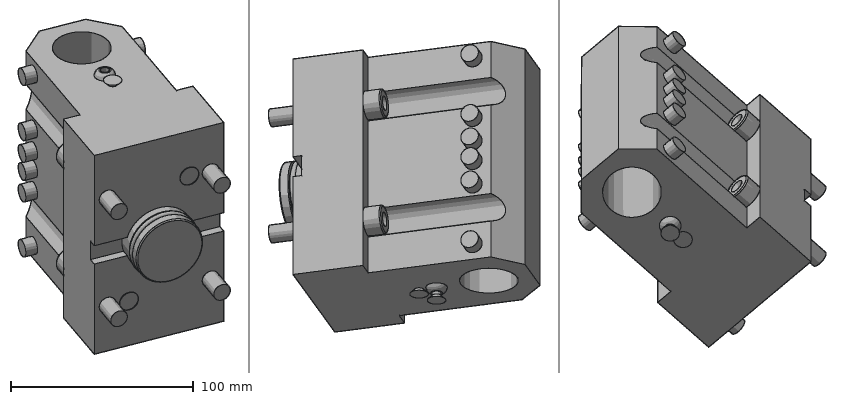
import cadquery as cq

body_length = 125.0
body_height = 130.0
foot_width = 78.0
foot_length = 40.0
neck_width = 58.0
nose_chamfer = 15.0
bore_x = 25.0
bore_diameter = 32.0

bolt_offset_y = 31.0
bolt_offset_z = 35.0
bolt_diameter = 10.0
bolt_protrusion = 15.0
head_diameter = 16.0
head_height = 10.0
head_chamfer = 0.7
socket_diameter = 7.9
socket_depth = 5.0
bolt_groove_diameter = 17.0

pin_diameter = 10.0
pin_protrusion = 7.0
pin_offsets_z = (5.9, 20.0, 56.0)

boss_radius = 20.0
boss_length = 14.0
boss_chamfer = 0.7
seal_groove_start = 4.5
seal_groove_end = 8.7
seal_groove_depth = 2.5
seal_section_radius = 1.7
seal_protrusion = 0.4

slot_width = 12.0
slot_depth = 5.0

port_diameter = 11.3
port_thickness = 0.4
port_offset_y = 18.2
port_offset_z = 35.8

nozzle_x = 54.9
nozzle_base_radius = 5.9
nozzle_tip_radius = 3.2
nozzle_height = 3.4
nozzle_bulge = 0.4
nozzle_hole_diameter = 4.8

plug_x = 64.9
plug_shank_radius = 2.5
plug_rim_radius = 5.1
plug_height = 2.7
plug_root = 2.8
drain_height = 7.8

foot_x = body_length - foot_length
middle_z = body_height / 2
half_neck = neck_width / 2
half_foot = foot_width / 2
bolt_places = [
    (side_y * bolt_offset_y, middle_z + side_z * bolt_offset_z)
    for side_y in (-1, 1)
    for side_z in (-1, 1)
]


def rod_along_x(x, y, z, diameter, length):
    """Round bar starting at x and running toward +X."""
    return cq.Workplane("YZ", origin=(x, y, z)).circle(diameter / 2).extrude(length)


def make_body():
    """T-shaped block with a chamfered nose and a slot across the mounting face."""
    outline = [
        (0, -half_neck + nose_chamfer),
        (nose_chamfer, -half_neck),
        (foot_x, -half_neck),
        (foot_x, -half_foot),
        (body_length, -half_foot),
        (body_length, half_foot),
        (foot_x, half_foot),
        (foot_x, half_neck),
        (nose_chamfer, half_neck),
        (0, half_neck - nose_chamfer),
    ]
    block = cq.Workplane("XY").polyline(outline).close().extrude(body_height)
    slot = cq.Workplane("XY", origin=(body_length, 0, middle_z)).box(2 * slot_depth, foot_width, slot_width)
    return block.cut(slot)


def make_bore():
    """Vertical through hole in the nose."""
    return cq.Workplane("XY").center(bore_x, 0).circle(bore_diameter / 2).extrude(body_height)


def make_bolt(y, z):
    """Cap screw: chamfered head with a conical socket, and a shank through the foot."""
    head_x = foot_x - head_height
    head = rod_along_x(head_x, y, z, head_diameter, head_height).faces("<X").chamfer(head_chamfer)
    socket_profile = [(0, 0), (0, socket_diameter / 2), (socket_depth, 0)]
    socket = cq.Workplane("XY", origin=(head_x, y, z)).polyline(socket_profile).close()
    socket = socket.revolve(360, (0, 0, 0), (1, 0, 0))
    shank = rod_along_x(foot_x, y, z, bolt_diameter, foot_length + bolt_protrusion)
    return head.cut(socket).union(shank)


def make_pin_row():
    """Row of round pins across the neck, standing proud on both sides."""
    heights = [middle_z + sign * z for z in pin_offsets_z for sign in (-1, 1)]
    places = [(bore_x, z) for z in heights]
    half_length = half_neck + pin_protrusion
    return cq.Workplane("XZ").pushPoints(places).circle(pin_diameter / 2).extrude(half_length, both=True)


def make_boss():
    """Locating boss with a seal groove and its seal ring, turned about X and rooted at the slot floor."""
    groove_radius = boss_radius - seal_groove_depth
    profile = [
        (-slot_depth, 0),
        (-slot_depth, boss_radius),
        (seal_groove_start, boss_radius),
        (seal_groove_start, groove_radius),
        (seal_groove_end, groove_radius),
        (seal_groove_end, boss_radius),
        (boss_length - boss_chamfer, boss_radius),
        (boss_length, boss_radius - boss_chamfer),
        (boss_length, 0),
    ]
    plane = cq.Workplane("XY", origin=(body_length, 0, middle_z))
    boss = plane.polyline(profile).close().revolve(360, (0, 0, 0), (1, 0, 0))
    seal_x = seal_groove_start + seal_section_radius
    seal_radius = boss_radius + seal_protrusion - seal_section_radius
    seal = plane.center(seal_x, seal_radius).circle(seal_section_radius)
    seal = seal.revolve(360, (0, -seal_radius, 0), (1, -seal_radius, 0))
    return boss.union(seal)


def make_nozzle():
    """Domed nozzle, base on z = 0, turned about Z."""
    bulge_point = (
        (nozzle_base_radius + nozzle_tip_radius) / 2 + nozzle_bulge,
        nozzle_height / 2 + nozzle_bulge,
    )
    profile = cq.Workplane("XZ").lineTo(nozzle_base_radius, 0)
    profile = profile.threePointArc(bulge_point, (nozzle_tip_radius, nozzle_height))
    return profile.lineTo(0, nozzle_height).close().revolve(360, (0, 0, 0), (0, 1, 0))


def make_plug(total_height):
    """Countersunk plug, shank rooted below z = 0 and flat rim at total_height, turned about Z."""
    profile = [
        (0, -plug_root),
        (plug_shank_radius, -plug_root),
        (plug_shank_radius, total_height - plug_height),
        (plug_rim_radius, total_height),
        (0, total_height),
    ]
    return cq.Workplane("XZ").polyline(profile).close().revolve(360, (0, 0, 0), (0, 1, 0))


def make_top_fittings():
    """Open nozzle beside a countersunk plug, resting on the upper face."""
    hole = cq.Workplane("XY").circle(nozzle_hole_diameter / 2).extrude(nozzle_height)
    nozzle = make_nozzle().cut(hole).translate((nozzle_x, 0, body_height))
    plug = make_plug(plug_height).translate((plug_x, 0, body_height))
    return nozzle.union(plug)


def make_bottom_fittings():
    """Nozzle closed by a long plug, beside a short plug, hanging from the lower face."""
    nozzle = make_nozzle().union(make_plug(drain_height)).translate((nozzle_x, 0, 0))
    plug = make_plug(plug_height).translate((plug_x, 0, 0))
    return nozzle.union(plug).mirror("XY")


result = make_body()
for y, z in bolt_places:
    result = result.cut(rod_along_x(0, y, z, bolt_groove_diameter, foot_x))
result = result.union(make_pin_row()).cut(make_bore())
for y, z in bolt_places:
    result = result.union(make_bolt(y, z))
result = result.union(make_boss())
for side in (-1, 1):
    port_y = side * port_offset_y
    port_z = middle_z + side * port_offset_z
    result = result.union(rod_along_x(body_length, port_y, port_z, port_diameter, port_thickness))
result = result.union(make_top_fittings()).union(make_bottom_fittings())